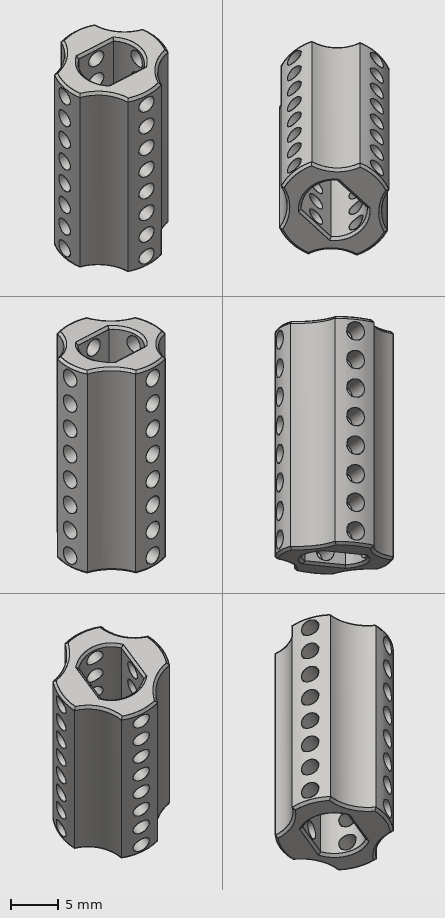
import cadquery as cq

length = 25.0
outer_diameter = 12.5
flute_radius = 5.0
flute_center_distance = 10.0
flute_count = 4
first_flute_angle = 45.0
bore_diameter = 7.0
bore_flat_width = 5.25
edge_chamfer = 0.3
hole_diameter = 2.0
hole_count = 8

outer_radius = outer_diameter / 2
hole_pitch = length / hole_count


def fluted_body():
    """Round bar with concave flutes on the diagonals, leaving lobes on the X and Y axes."""
    bar = cq.Workplane("XY").circle(outer_radius).extrude(length)
    flutes = (
        cq.Workplane("XY")
        .polarArray(flute_center_distance, first_flute_angle, 360, flute_count)
        .circle(flute_radius)
        .extrude(length)
    )
    return bar.cut(flutes)


def flatted_bore():
    """Through bore with two flats facing along X."""
    round_bore = cq.Workplane("XY").circle(bore_diameter / 2).extrude(length)
    flats = cq.Workplane("XY").rect(bore_flat_width, bore_diameter).extrude(length)
    return round_bore.intersect(flats)


def cross_holes(plane):
    """Row of evenly pitched holes along Z, drilled through two opposite lobes."""
    return (
        cq.Workplane(plane)
        .center(0, length / 2)
        .rarray(0.25, hole_pitch, 1, hole_count)
        .circle(hole_diameter / 2)
        .extrude(outer_radius, both=True)
    )


result = fluted_body().cut(flatted_bore())

result = result.faces("<Z or >Z").chamfer(edge_chamfer)

for plane in ("XZ", "YZ"):
    result = result.cut(cross_holes(plane))